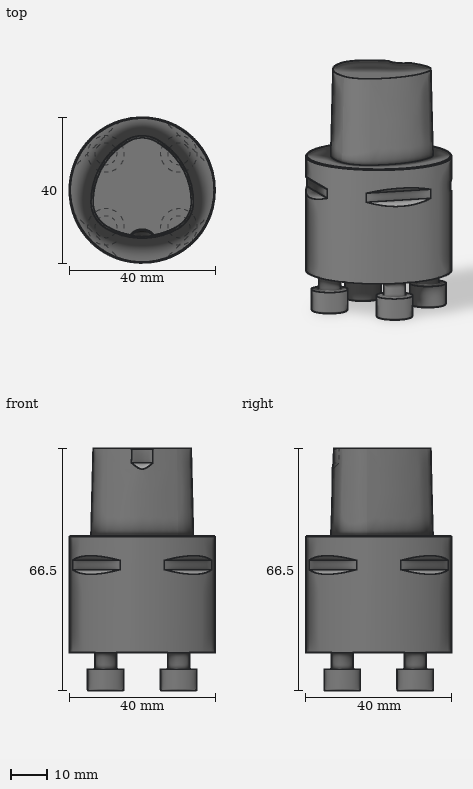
import cadquery as cq
import math

body_diameter = 40.0
body_height = 32.0
body_rim_chamfer = 0.3

groove_depth = 2.25
groove_floor_height = 2.5
groove_flank_angle = 30.0
groove_drop = 8.0
groove_directions = (45.0, 135.0, 225.0, 315.0)

shank_length = 24.0
shank_width = 28.1
shank_eccentricity = 0.87
shank_taper_ratio = 1 / 20
lobe_directions = (90.0, 210.0, 330.0)

notch_radius = 3.7
notch_axis_y = -14.7
notch_depth = 4.0
notch_chamfer = 0.3

overall_height = 66.53
screw_spacing = 20.0
screw_diameter = 6.0
screw_head_diameter = 10.0
screw_head_height = 6.0
screw_head_fillet = 0.6
screw_neck_fillet = 0.3

shank_top = body_height + shank_length
screw_length = overall_height - shank_top
screw_head_top = screw_head_height - screw_length


def polar_point(radius, angle):
    """Point in the XY plane at a radius and an angle in degrees."""
    angle_in_radians = math.radians(angle)
    return (radius * math.cos(angle_in_radians), radius * math.sin(angle_in_radians))


def lobe_arc_end(centre, radius, angle):
    """Point on a lobe arc, at an angle in degrees around the lobe centre."""
    offset = polar_point(radius, angle)
    return (centre[0] + offset[0], centre[1] + offset[1])


def make_body():
    body = cq.Workplane("XY").circle(body_diameter / 2).extrude(body_height)
    return body.faces(">Z").edges().chamfer(body_rim_chamfer)


def make_groove_cutter(direction):
    """Straight trapezoidal bar, widening outward, square to one diagonal."""
    body_radius = body_diameter / 2
    floor_radius = body_radius - groove_depth
    middle_z = body_height - groove_drop
    floor_half = groove_floor_height / 2
    mouth_half = floor_half + groove_depth * math.tan(math.radians(groove_flank_angle))
    bar = (
        cq.Workplane("XZ")
        .polyline(
            [
                (floor_radius, middle_z - floor_half),
                (body_radius, middle_z - mouth_half),
                (body_radius, middle_z + mouth_half),
                (floor_radius, middle_z + floor_half),
            ]
        )
        .close()
        .extrude(body_radius, both=True)
    )
    return bar.rotate((0, 0, 0), (0, 0, 1), direction)


def make_shank():
    """Constant-width profile of three small lobe arcs and three large side arcs, tapered upward."""
    half_width = shank_width / 2
    lobe_offset = shank_eccentricity / (1 - math.sqrt(3) / 2)
    lobe_radius = half_width + shank_eccentricity - lobe_offset
    half_sweep = 30.0

    lobe_arcs = []
    for direction in lobe_directions:
        centre = polar_point(lobe_offset, direction)
        start = lobe_arc_end(centre, lobe_radius, direction - half_sweep)
        end = lobe_arc_end(centre, lobe_radius, direction + half_sweep)
        lobe_arcs.append((start, polar_point(half_width + shank_eccentricity, direction), end))

    profile = cq.Workplane("XY").workplane(offset=body_height).moveTo(*lobe_arcs[0][0])
    for index, direction in enumerate(lobe_directions):
        start, crest, end = lobe_arcs[index]
        next_start = lobe_arcs[(index + 1) % len(lobe_arcs)][0]
        side_middle = polar_point(half_width - shank_eccentricity, direction + 2 * half_sweep)
        profile = profile.threePointArc(crest, end).threePointArc(side_middle, next_start)
    taper_angle = math.degrees(math.atan(shank_taper_ratio / 2))
    return profile.close().extrude(shank_length, taper=taper_angle)


def make_notch_cutter():
    """Drill shape with a right-angled point and a chamfered mouth."""
    wall_bottom = shank_top - notch_depth
    drill = (
        cq.Workplane("XZ")
        .polyline(
            [
                (0, wall_bottom - notch_radius),
                (notch_radius, wall_bottom),
                (notch_radius, shank_top - notch_chamfer),
                (notch_radius + notch_chamfer, shank_top),
                (0, shank_top),
            ]
        )
        .close()
        .revolve(360, (0, 0), (0, 1))
    )
    return drill.translate((0, notch_axis_y, 0))


def make_screw():
    """Cap screw hanging below Z = 0, with a rounded head rim and a filleted neck."""
    head = (
        cq.Workplane("XY")
        .workplane(offset=-screw_length)
        .circle(screw_head_diameter / 2)
        .extrude(screw_head_height)
        .faces("<Z")
        .edges()
        .fillet(screw_head_fillet)
    )
    stem = cq.Workplane("XY").circle(screw_diameter / 2).extrude(screw_head_top)
    screw = head.union(stem)
    return screw.faces("<Z[-2]").edges(cq.selectors.RadiusNthSelector(0)).fillet(screw_neck_fillet)


result = make_body()
for groove_direction in groove_directions:
    result = result.cut(make_groove_cutter(groove_direction))

result = result.union(make_shank().cut(make_notch_cutter()))

for screw_x in (-screw_spacing / 2, screw_spacing / 2):
    for screw_y in (-screw_spacing / 2, screw_spacing / 2):
        result = result.union(make_screw().translate((screw_x, screw_y, 0)))